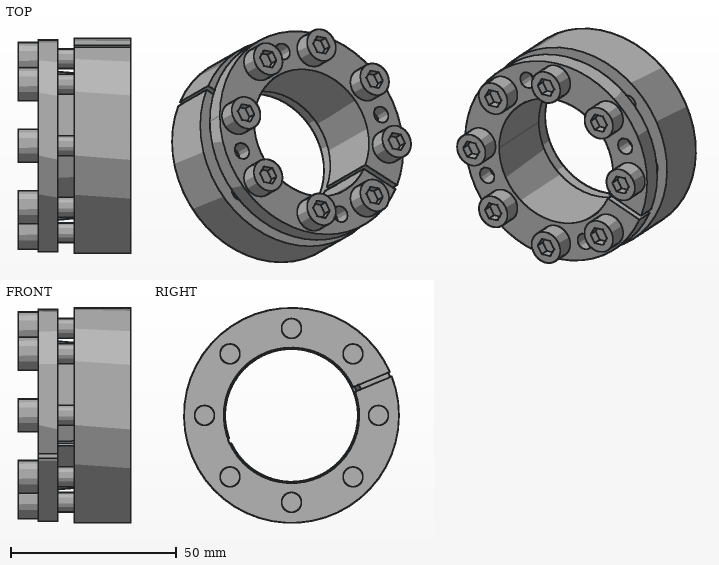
import cadquery as cq
import math


head_length = 6.0
flange_thickness = 6.0
gap = 4.95
ring_length = 17.1
flange_front = head_length
flange_back = flange_front + flange_thickness
ring_front = flange_back + gap
ring_back = ring_front + ring_length
cone_length = 17.35
cone_end = flange_back + cone_length

ring_diameter = 64.95
flange_diameter = 64.0
bore_diameter = 40.0
cone_base_diameter = 44.8
cone_angle = 5.0
taper = math.tan(math.radians(cone_angle))

screw_count = 8
pitch_diameter = 52.5
shank_diameter = 6.0
head_diameter = 10.0
socket_flats = 5.0
socket_depth = 3.0
jack_hole_count = 4
jack_hole_diameter = 5.0

slit_width = 1.5
half_pitch_angle = 180.0 / screw_count
ring_slit_angle = half_pitch_angle
cone_slit_angle = ring_slit_angle + 180.0
jack_hole_start_angle = 3 * half_pitch_angle


def cone_radius(x):
    """Radius of the clamping taper at station x."""
    return cone_base_diameter / 2 - (x - flange_back) * taper


def cylinder(diameter, x_start, x_end):
    """Cylinder on the X axis."""
    return cq.Workplane("YZ", origin=(x_start, 0, 0)).circle(diameter / 2).extrude(x_end - x_start)


def taper_plug(x_start, x_end):
    """Solid frustum of the clamping taper, narrowing towards +X."""
    profile = [
        (x_start, 0),
        (x_start, cone_radius(x_start)),
        (x_end, cone_radius(x_end)),
        (x_end, 0),
    ]
    return cq.Workplane("XY").polyline(profile).close().revolve(360, (0, 0, 0), (1, 0, 0))


def pitch_circle_cylinders(diameter, start_angle, count, x_start, x_end):
    """Equally spaced cylinders on the pitch circle, used to cut holes."""
    return (
        cq.Workplane("YZ", origin=(x_start, 0, 0))
        .polarArray(pitch_diameter / 2, start_angle, 360, count)
        .circle(diameter / 2)
        .extrude(x_end - x_start)
    )


def slit(angle):
    """Radial slab that splits one side of a ring over the full length."""
    slab = cq.Workplane("XY").box(ring_back, ring_diameter, slit_width, centered=(False, False, True))
    return slab.rotate((0, 0, 0), (1, 0, 0), angle)


def make_clamping_ring():
    ring = cylinder(ring_diameter, ring_front, ring_back)
    ring = ring.cut(taper_plug(ring_front, ring_back))
    ring = ring.cut(pitch_circle_cylinders(shank_diameter, 0, screw_count, ring_front, ring_back))
    return ring.cut(slit(ring_slit_angle))


def make_flanged_cone():
    cone = cylinder(flange_diameter, flange_front, flange_back).union(taper_plug(flange_back, cone_end))
    cone = cone.cut(cylinder(bore_diameter, flange_front, cone_end))
    cone = cone.cut(pitch_circle_cylinders(shank_diameter, 0, screw_count, flange_front, flange_back))
    cone = cone.cut(
        pitch_circle_cylinders(
            jack_hole_diameter, jack_hole_start_angle, jack_hole_count, flange_front, flange_back
        )
    )
    return cone.cut(slit(cone_slit_angle))


def make_screw(angle):
    """Socket-head screw on the pitch circle, its hexagon corners pointing along Y."""
    head = cylinder(head_diameter, 0, head_length)
    shank = cylinder(shank_diameter, head_length, ring_back)
    socket_corners = socket_flats / math.cos(math.pi / 6)
    socket = cq.Workplane("YZ").polygon(6, socket_corners).extrude(socket_depth)
    y = pitch_diameter / 2 * math.cos(math.radians(angle))
    z = pitch_diameter / 2 * math.sin(math.radians(angle))
    return head.union(shank).cut(socket).translate((0, y, z))


clamping_ring = make_clamping_ring()
flanged_cone = make_flanged_cone()
screws = [make_screw(i * 360 / screw_count) for i in range(screw_count)]

result = cq.Compound.makeCompound(
    [clamping_ring.val(), flanged_cone.val(), *[screw.val() for screw in screws]]
)